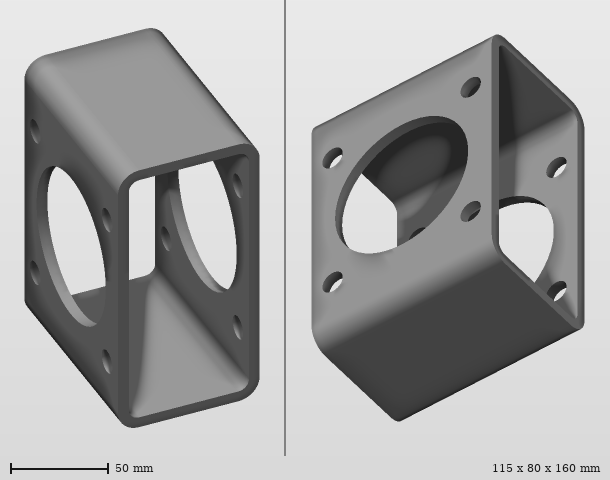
import cadquery as cq

length = 115.0
width = 80.0
height = 160.0
wall = 6.0
outer_radius = 12.0
inner_radius = outer_radius - wall

bore_diameter = 85.0
bolt_hole_diameter = 13.0
bolt_spacing = 88.2


def rounded_bar(bar_width, bar_height, corner_radius):
    """Solid bar along X with its four long edges rounded."""
    return cq.Workplane("XY").box(length, bar_width, bar_height).edges("|X").fillet(corner_radius)


def cross_holes():
    """Central bore and four bolt holes, as cylinders along Y."""
    plane = cq.Workplane("XZ")
    bore = plane.circle(bore_diameter / 2).extrude(width, both=True)
    bolts = (
        plane.rect(bolt_spacing, bolt_spacing, forConstruction=True)
        .vertices()
        .circle(bolt_hole_diameter / 2)
        .extrude(width, both=True)
    )
    return bore.union(bolts)


outside = rounded_bar(width, height, outer_radius)
inside = rounded_bar(width - 2 * wall, height - 2 * wall, inner_radius)
result = outside.cut(inside).cut(cross_holes())